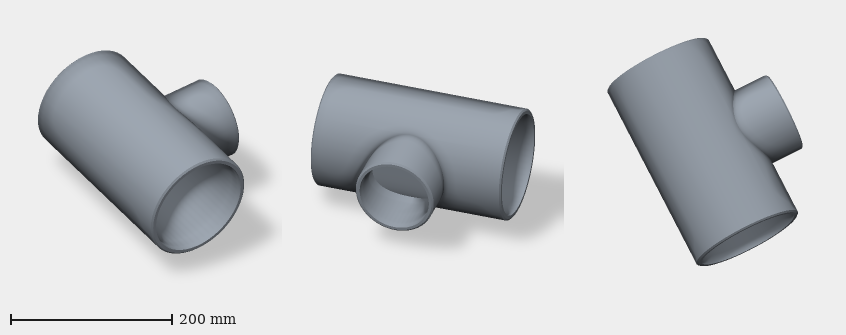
import cadquery as cq

run_length = 248.0
run_diameter = 141.3
run_bore = 128.2

branch_reach = 114.3
branch_diameter = 101.6
branch_bore = 90.2

bevel_length = 2.0
bevel_depth = 2.2


def beveled_rod(diameter, start, end, bevel_start):
    """Solid of revolution about the Y axis, beveled at its end and optionally at its start."""
    radius = diameter / 2
    profile = cq.Workplane("XY").moveTo(0, start)
    if bevel_start:
        profile = profile.lineTo(radius - bevel_depth, start).lineTo(radius, start + bevel_length)
    else:
        profile = profile.lineTo(radius, start)
    profile = profile.lineTo(radius, end - bevel_length).lineTo(radius - bevel_depth, end)
    return profile.lineTo(0, end).close().revolve(360, (0, 0, 0), (0, 1, 0))


def turn_to_x(body):
    """Turn a body lying along Y so that it lies along X."""
    return body.rotate((0, 0, 0), (0, 0, 1), -90)


run = turn_to_x(beveled_rod(run_diameter, -run_length / 2, run_length / 2, True))
branch = beveled_rod(branch_diameter, 0, branch_reach, False)

run_hole = cq.Workplane("YZ").circle(run_bore / 2).extrude(run_length / 2, both=True)
branch_hole = cq.Workplane("XZ").circle(branch_bore / 2).extrude(-branch_reach)

result = run.union(branch).cut(run_hole).cut(branch_hole)